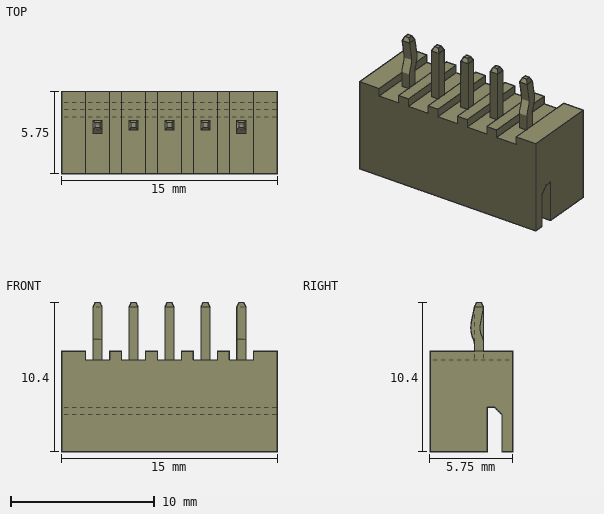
import cadquery as cq
import math

length = 15.0
depth = 5.75
body_height = 7.0
total_height = 10.4

pin_count = 5
pitch = length / (pin_count + 1)
pin_width = 0.65
pin_half = pin_width / 2
pin_row_to_back = 2.35
tip_height = 0.32
tip_flat_width = 0.35
tip_base_z = total_height - tip_height
pin_positions = [(i - (pin_count - 1) / 2) * pitch for i in range(pin_count)]

groove_width = 1.66
groove_depth = 0.6
groove_floor_z = body_height - groove_depth

back_wall = 0.76
slot_width = 1.0
slot_height = 3.09
slot_chamfer = 0.5

kink_start_z = body_height + 0.54
foot_radius = 0.87
crown_radius = 1.66
foot_angle = math.radians(25.6)

back_y = pin_row_to_back
front_y = back_y - depth


def make_body():
    """Plain block with its underside at Z = 0."""
    body = cq.Workplane("XY").box(length, depth, body_height, centered=(True, False, False))
    return body.translate((0, front_y, 0))


def make_groove(x):
    """Cutter for the full-depth groove around the pin at x."""
    groove = cq.Workplane("XY").box(groove_width, depth, groove_depth, centered=(True, False, False))
    return groove.translate((x, front_y, groove_floor_z))


def make_slot():
    """Cutter for the full-length slot, chamfered at its upper rear corner."""
    slot_back = back_y - back_wall
    slot_front = slot_back - slot_width
    outline = [
        (slot_front, 0),
        (slot_back, 0),
        (slot_back, slot_height - slot_chamfer),
        (slot_back - slot_chamfer, slot_height),
        (slot_front, slot_height),
    ]
    return cq.Workplane("YZ").polyline(outline).close().extrude(length / 2, both=True)


def make_tip(x):
    """Four-sided tapered tip on top of the pin at x."""
    tip = cq.Workplane("XY", origin=(x, 0, tip_base_z)).rect(pin_width, pin_width)
    return tip.workplane(offset=tip_height).rect(tip_flat_width, tip_flat_width).loft(ruled=True)


def make_straight_pin(x):
    """Straight square pin standing on the groove floor at x."""
    shank = cq.Workplane("XY", origin=(x, 0, groove_floor_z)).rect(pin_width, pin_width)
    return shank.extrude(tip_base_z - groove_floor_z).union(make_tip(x))


def make_kinked_pin(x):
    """Pin that bulges towards -Y: foot bend, crown arc, then a straight run back to the tip."""
    radius_sum = foot_radius + crown_radius
    crown_z = kink_start_z + radius_sum * math.sin(foot_angle)
    bulge = radius_sum * (1 - math.cos(foot_angle))
    crown_centre_y = crown_radius - bulge

    rise = tip_base_z - crown_z
    lean = math.atan2(rise, crown_centre_y) - math.acos(crown_radius / math.hypot(rise, crown_centre_y))

    def foot_point(angle, side):
        radius = foot_radius - side
        return (-foot_radius + radius * math.cos(angle), kink_start_z + radius * math.sin(angle))

    def crown_point(angle, side):
        radius = crown_radius + side
        return (crown_centre_y - radius * math.cos(angle), crown_z + radius * math.sin(angle))

    front, back = pin_half, -pin_half
    profile = (
        cq.Workplane("YZ", origin=(x - pin_half, 0, 0))
        .moveTo(-pin_half, groove_floor_z)
        .lineTo(*foot_point(0, front))
        .threePointArc(foot_point(foot_angle / 2, front), foot_point(foot_angle, front))
        .threePointArc(crown_point(-foot_angle / 2, front), crown_point(0, front))
        .threePointArc(crown_point(lean / 2, front), crown_point(lean, front))
        .lineTo(-pin_half, tip_base_z)
        .lineTo(pin_half, tip_base_z)
        .lineTo(*crown_point(lean, back))
        .threePointArc(crown_point(lean / 2, back), crown_point(0, back))
        .threePointArc(crown_point(-foot_angle / 2, back), crown_point(-foot_angle, back))
        .threePointArc(foot_point(foot_angle / 2, back), foot_point(0, back))
        .lineTo(pin_half, groove_floor_z)
        .close()
    )
    return profile.extrude(pin_width).union(make_tip(x))


result = make_body().cut(make_slot())
for pin_x in pin_positions:
    result = result.cut(make_groove(pin_x))

end_positions = (pin_positions[0], pin_positions[-1])
for pin_x in pin_positions:
    make_pin = make_kinked_pin if pin_x in end_positions else make_straight_pin
    result = result.union(make_pin(pin_x))